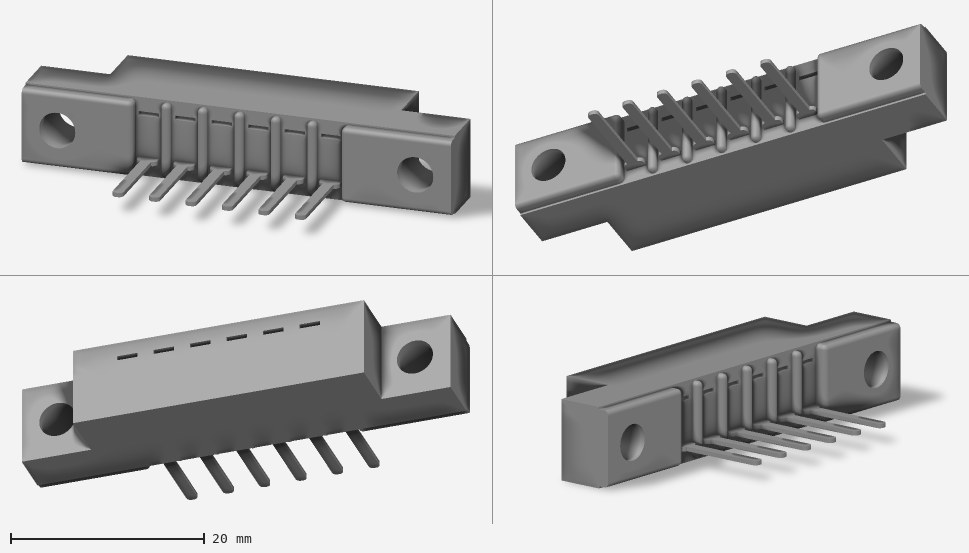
import cadquery as cq

LENGTH = 46.8
HEIGHT = 8.7
BODY_DEPTH = 10.7
SHOULDER_LENGTH = 7.55
SHOULDER_STEP = 5.65

EAR_LENGTH = 12.03
EAR_RISE = 1.25
EAR_ROUND = 0.5
MOUNT_HOLE_DIAMETER = 3.95
MOUNT_HOLE_INSET = 3.9

LEDGE = 0.25
PAD_HEIGHT = HEIGHT - 2 * LEDGE

PIN_COUNT = 6
PIN_PITCH = 4.0
ROW_OFFSET = 2.55
PIN_THICKNESS = 0.45
HEAD_WIDTH = 2.25
HEAD_DROP = 1.05
HEAD_ROUND = 0.5
TAIL_WIDTH = 1.15
TAIL_DROP = 10.4
TIP_ROUND = 0.45

RIB_WIDTH = 1.0
RIB_RISE = 0.8
RIB_ROUND = 0.45

pin_positions = [(i - (PIN_COUNT - 1) / 2) * PIN_PITCH for i in range(PIN_COUNT)]
rib_positions = [x + PIN_PITCH / 2 for x in pin_positions[:-1]]


def make_ear():
    """Left ear, rounded everywhere except at its base and at the end of the housing."""
    ear = (
        cq.Workplane("XY")
        .box(EAR_LENGTH, EAR_RISE, PAD_HEIGHT)
        .translate(((EAR_LENGTH - LENGTH) / 2, -EAR_RISE / 2, 0))
    )
    return ear.faces("<Y or >X").edges("not(<X or >Y)").fillet(EAR_ROUND)


def make_rib(x):
    """Rib with round ends and a domed crown."""
    rib = cq.Workplane("XZ").slot2D(PAD_HEIGHT, RIB_WIDTH, 90).extrude(RIB_RISE)
    return rib.faces("<Y").edges().fillet(RIB_ROUND).translate((x, 0, 0))


def make_slot(x, z):
    """Cutter for a contact slot that runs through the housing from face to face."""
    return cq.Workplane("XY").box(HEAD_WIDTH, BODY_DEPTH, PIN_THICKNESS).translate((x, BODY_DEPTH / 2, z))


def make_housing():
    """Stepped block with ears and ribs on its tail face, mounting holes and contact slots."""
    shoulder_y = BODY_DEPTH - SHOULDER_STEP
    half_front = LENGTH / 2 - SHOULDER_LENGTH
    housing = cq.Workplane("XY").box(LENGTH, shoulder_y, HEIGHT).translate((0, shoulder_y / 2, 0))
    front = cq.Workplane("XY").box(2 * half_front, BODY_DEPTH, HEIGHT).translate((0, BODY_DEPTH / 2, 0))
    housing = housing.union(front)

    left_ear = make_ear()
    housing = housing.union(left_ear).union(left_ear.mirror("YZ"))
    for x in rib_positions:
        housing = housing.union(make_rib(x))

    hole_x = LENGTH / 2 - MOUNT_HOLE_INSET
    mount_holes = (
        cq.Workplane("XZ", origin=(0, BODY_DEPTH, 0))
        .pushPoints([(-hole_x, 0), (hole_x, 0)])
        .circle(MOUNT_HOLE_DIAMETER / 2)
        .extrude(BODY_DEPTH + EAR_RISE)
    )
    housing = housing.cut(mount_holes)

    for x in pin_positions:
        for z in (-ROW_OFFSET, ROW_OFFSET):
            housing = housing.cut(make_slot(x, z))
    return housing


def make_pin(x):
    """Flat pin: a wide head that fills its slot and a narrow tail with a rounded tip."""
    head_length = BODY_DEPTH + HEAD_DROP
    head = (
        cq.Workplane("XY")
        .box(HEAD_WIDTH, head_length, PIN_THICKNESS)
        .edges("|Z and <Y")
        .fillet(HEAD_ROUND)
        .translate((0, BODY_DEPTH - head_length / 2, 0))
    )
    tail = (
        cq.Workplane("XY")
        .box(TAIL_WIDTH, TAIL_DROP, PIN_THICKNESS)
        .edges("|Z and <Y")
        .fillet(TIP_ROUND)
        .translate((0, -TAIL_DROP / 2, 0))
    )
    return head.union(tail).translate((x, 0, -ROW_OFFSET))


housing = make_housing()
pins = [make_pin(x) for x in pin_positions]

result = cq.Compound.makeCompound([housing.val(), *[pin.val() for pin in pins]])